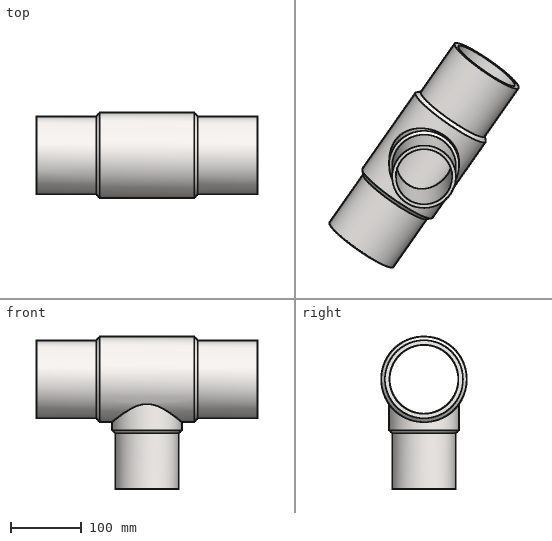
import cadquery as cq

run_length = 312.0
run_diameter = 110.0
run_bore = 96.7

sleeve_length = 143.5
sleeve_diameter = 121.0
sleeve_chamfer = (sleeve_diameter - run_diameter) / 2

overall_height = 215.5
branch_depth = overall_height - sleeve_diameter / 2
branch_diameter = 90.0
branch_bore = 79.2

collar_depth = 76.0
collar_diameter = 99.0
collar_chamfer = (collar_diameter - branch_diameter) / 2


def run_cylinder(diameter, length):
    """Cylinder along X, centred on the origin."""
    return cq.Workplane("YZ", origin=(-length / 2, 0, 0)).circle(diameter / 2).extrude(length)


def branch_cylinder(diameter, depth):
    """Cylinder from the run axis downwards."""
    return cq.Workplane("XY").circle(diameter / 2).extrude(-depth)


sleeve = run_cylinder(sleeve_diameter, sleeve_length).faces("<X or >X").chamfer(sleeve_chamfer)
collar = branch_cylinder(collar_diameter, collar_depth).faces("<Z").chamfer(collar_chamfer)
run = run_cylinder(run_diameter, run_length)
branch = branch_cylinder(branch_diameter, branch_depth)
body = run.union(sleeve).union(collar).union(branch)

result = body.cut(run_cylinder(run_bore, run_length)).cut(branch_cylinder(branch_bore, branch_depth))